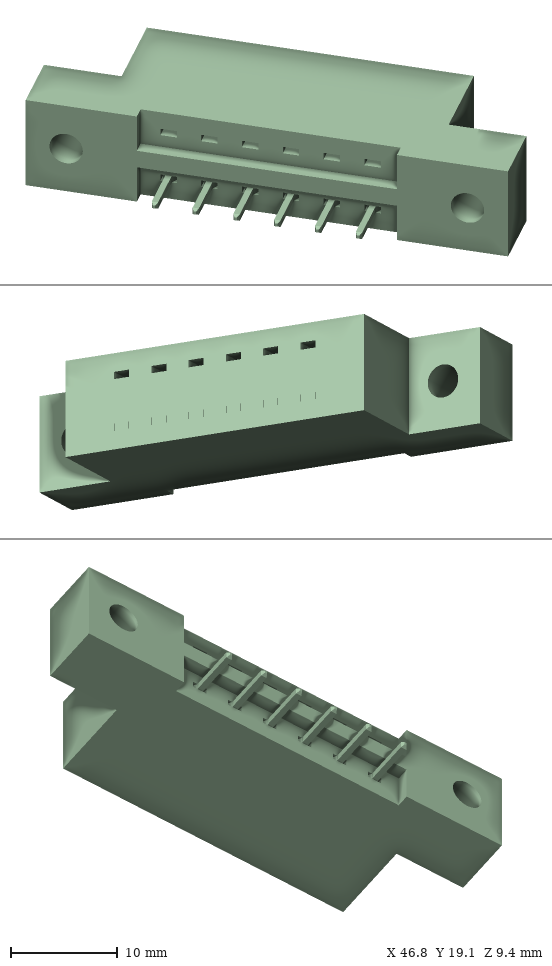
import cadquery as cq

FLANGE_LENGTH = 46.8
FLANGE_DEPTH = 6.4
NOSE_LENGTH = 31.72
HOUSING_DEPTH = 15.25
HOUSING_HEIGHT = 9.4

MOUNT_HOLE_DIAMETER = 3.25
MOUNT_HOLE_SPACING = 38.95

RECESS_LENGTH = 25.2
RECESS_DEPTH = 1.3
CENTRE_RIB_HEIGHT = 1.82

CONTACT_COUNT = 6
CONTACT_PITCH = 3.96
ROW_OFFSET = 2.55
SLOT_WIDTH = 1.6
SLOT_HEIGHT = 0.7

BLADE_CLEARANCE = 0.05
PIN_WIDTH = 0.6
PIN_PROJECTION = 3.8
TIP_LENGTH = 0.35
TIP_SIDE_CUT = 0.2
SHOULDER_LENGTH = 0.75

recess_height = (HOUSING_HEIGHT - CENTRE_RIB_HEIGHT) / 2
recess_offset = (HOUSING_HEIGHT - recess_height) / 2
blade_width = SLOT_WIDTH - 2 * BLADE_CLEARANCE
contact_positions = [
    (index - (CONTACT_COUNT - 1) / 2) * CONTACT_PITCH for index in range(CONTACT_COUNT)
]


def centred_block(length, height, y_start, y_end, x=0, z=0):
    """Box centred at (x, z) that spans y_start to y_end."""
    depth = y_end - y_start
    return cq.Workplane("XY").box(length, depth, height).translate((x, y_start + depth / 2, z))


def make_housing():
    """Flanged housing with mounting holes, front recesses and two rows of through slots."""
    flange = centred_block(FLANGE_LENGTH, HOUSING_HEIGHT, 0, FLANGE_DEPTH)
    nose = centred_block(NOSE_LENGTH, HOUSING_HEIGHT, 0, HOUSING_DEPTH)
    housing = flange.union(nose)

    mount_holes = (
        cq.Workplane("XZ")
        .pushPoints([(-MOUNT_HOLE_SPACING / 2, 0), (MOUNT_HOLE_SPACING / 2, 0)])
        .circle(MOUNT_HOLE_DIAMETER / 2)
        .extrude(-FLANGE_DEPTH)
    )
    housing = housing.cut(mount_holes)

    for side in (-1, 1):
        recess = centred_block(RECESS_LENGTH, recess_height, 0, RECESS_DEPTH, z=side * recess_offset)
        housing = housing.cut(recess)
        for x in contact_positions:
            slot = centred_block(SLOT_WIDTH, SLOT_HEIGHT, 0, HOUSING_DEPTH, x=x, z=side * ROW_OFFSET)
            housing = housing.cut(slot)
    return housing


def make_contact(x):
    """Contact in the lower row: a blade along the slot, sloping shoulders and a tapered pin."""
    shoulder_start = RECESS_DEPTH
    shoulder_end = RECESS_DEPTH + SHOULDER_LENGTH
    tip_start = TIP_LENGTH - PIN_PROJECTION
    blade_and_shoulders = (
        cq.Workplane("XY")
        .moveTo(-blade_width / 2, HOUSING_DEPTH)
        .lineTo(-blade_width / 2, shoulder_end)
        .lineTo(-PIN_WIDTH / 2, shoulder_start)
        .lineTo(PIN_WIDTH / 2, shoulder_start)
        .lineTo(blade_width / 2, shoulder_end)
        .lineTo(blade_width / 2, HOUSING_DEPTH)
        .close()
        .extrude(SLOT_HEIGHT / 2, both=True)
    )
    shank = centred_block(PIN_WIDTH, SLOT_HEIGHT, tip_start, shoulder_start)
    tip = (
        shank.faces("<Y")
        .workplane(centerOption="CenterOfMass")
        .rect(PIN_WIDTH, SLOT_HEIGHT)
        .workplane(offset=TIP_LENGTH)
        .rect(PIN_WIDTH - 2 * TIP_SIDE_CUT, SLOT_HEIGHT - 2 * TIP_SIDE_CUT)
        .loft(combine=False)
    )
    contact = blade_and_shoulders.union(shank).union(tip)
    return contact.translate((x, 0, -ROW_OFFSET))


housing = make_housing()
contacts = [make_contact(x) for x in contact_positions]

result = cq.Compound.makeCompound([housing.val(), *[contact.val() for contact in contacts]])